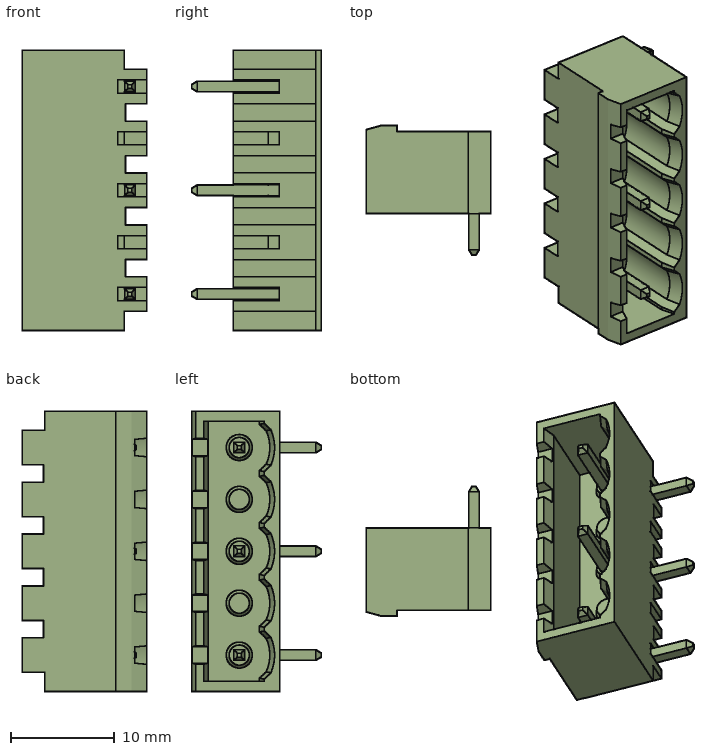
import cadquery as cq

TINY = 0.14

pole_count = 5
pitch = 5.0
row_length = 27.0
pole_z = [row_length / 2 + (i - (pole_count - 1) / 2) * pitch for i in range(pole_count)]
pin_z = pole_z[::2]

body_length = 9.83
body_depth = 7.95
overall_length = 12.0

lip_top = 8.5
lip_length = 2.97
lip_ramp_length = 1.45
lip_ramp_drop = 0.4

tooth_width = 3.35
tooth_root = 9.95

slot_width = 1.27
slot_start = 9.18

cavity_depth = 8.0
end_wall = 0.97
mouth_back = 7.35
mouth_cusp = 1.5
scallop_depth = 1.0
scallop_width = pitch - 0.35
scallop_arc_width = 3.4
scallop_arc_depth = 0.35
lead_in_length = 1.38
lead_in_step = 0.45
lead_in_narrowing = 0.2

notch_depth = 1.15
notch_mouth_width = 1.78
notch_floor_width = 1.57

boss_height = 0.55
boss_base_diameter = 2.5
boss_top_diameter = 1.95

pin_size = 1.03
pin_y = 3.92
pin_front = 1.0
tail_x = 10.37
tail_reach = 4.0
tip_length = 0.55
tip_size = 0.38


def block(x_range, y_range, z_range):
    """Box spanning the given (start, end) pairs."""
    ranges = (x_range, y_range, z_range)
    sizes = [end - start for start, end in ranges]
    corner = tuple(start for start, _ in ranges)
    return cq.Workplane("XY").box(*sizes, centered=False).translate(corner)


def around(center, width):
    """(start, end) pair of a width centred on a position."""
    return (center - width / 2, center + width / 2)


def make_housing():
    """Block with the ramped latch lip, plus the full-depth teeth."""
    housing = (
        cq.Workplane("XY")
        .polyline([
            (0, 0),
            (body_length, 0),
            (body_length, body_depth),
            (lip_length, body_depth),
            (lip_length, lip_top),
            (lip_ramp_length, lip_top),
            (0, lip_top - lip_ramp_drop),
        ])
        .close()
        .extrude(row_length)
    )
    first_tooth = pole_z[0] - tooth_width / 2
    last_tooth = pole_z[-1] + tooth_width / 2
    housing = housing.union(
        block((body_length - TINY, overall_length), (0, body_depth), (first_tooth, last_tooth))
    )
    for z in pole_z[:-1]:
        gap = around(z + pitch / 2, pitch - tooth_width)
        housing = housing.cut(
            block((tooth_root, overall_length + TINY), (-TINY, body_depth + TINY), gap)
        )
    return housing


def cavity_outline(workplane, step, narrowing):
    """Cavity outline on a YZ plane; each scallop is an arc between two sloping flanks.

    The front and back edges are drawn in by step and each scallop loses narrowing in width.
    """
    cusp = mouth_cusp + step
    bottom = cusp - scallop_depth
    arc_edge = bottom + scallop_arc_depth
    outline = workplane.moveTo(mouth_back - step, end_wall).lineTo(cusp, end_wall)
    for z in pole_z:
        start, end = around(z, scallop_width - narrowing)
        arc_start, arc_end = around(z, scallop_arc_width - narrowing)
        outline = (
            outline.lineTo(cusp, start)
            .lineTo(arc_edge, arc_start)
            .threePointArc((bottom, z), (arc_edge, arc_end))
            .lineTo(cusp, end)
        )
    top = row_length - end_wall
    return outline.lineTo(cusp, top).lineTo(mouth_back - step, top).close()


def make_cavity():
    """Straight cavity with a tapered lead-in at the mouth."""
    inner_steps = (lead_in_step, lead_in_narrowing)
    straight = cavity_outline(cq.Workplane("YZ"), *inner_steps).extrude(cavity_depth)
    mouth = cavity_outline(cq.Workplane("YZ"), 0, 0).workplane(offset=lead_in_length)
    lead_in = cavity_outline(mouth, *inner_steps).loft(ruled=True)
    return straight.union(lead_in)


def make_notch(z):
    """Coding notch through the lip, narrowing toward its floor."""
    return (
        cq.Workplane("XZ", origin=(0, lip_top + TINY, 0))
        .polyline([
            (0, z - notch_mouth_width / 2),
            (notch_depth, z - notch_floor_width / 2),
            (notch_depth, z + notch_floor_width / 2),
            (0, z + notch_mouth_width / 2),
        ])
        .close()
        .extrude(lip_top + TINY - (mouth_back - lead_in_step))
    )


def make_slot(z):
    """Tail slot: shallow inside the block and deeper between the tooth halves."""
    z_range = around(z, slot_width)
    pin_bottom, pin_top = around(pin_y, pin_size)
    inner = block((slot_start, body_length), (-TINY, pin_bottom), z_range)
    outer = block((body_length, overall_length + TINY), (-TINY, pin_top), z_range)
    return inner.union(outer)


def make_boss(z):
    """Tapered boss standing on the cavity floor."""
    return (
        cq.Workplane("YZ", origin=(cavity_depth, pin_y, z))
        .circle(boss_base_diameter / 2)
        .workplane(offset=-boss_height)
        .circle(boss_top_diameter / 2)
        .loft()
    )


def make_leg(plane, length):
    """Square bar along the plane normal, ending in a blunt pyramid point."""
    shank = length - tip_length
    bar = cq.Workplane(plane).rect(pin_size, pin_size).extrude(shank)
    tip = (
        cq.Workplane(plane)
        .workplane(offset=shank)
        .rect(pin_size, pin_size)
        .workplane(offset=tip_length)
        .rect(tip_size, tip_size)
        .loft()
    )
    return bar.union(tip)


def make_pin(z):
    """Right-angle pin: contact leg along -X and solder tail along -Y."""
    half = pin_size / 2
    outer_corner = tail_x + half
    contact_plane = cq.Plane(origin=(outer_corner, pin_y, z), xDir=(0, 1, 0), normal=(-1, 0, 0))
    tail_plane = cq.Plane(origin=(tail_x, pin_y + half, z), xDir=(1, 0, 0), normal=(0, -1, 0))
    contact = make_leg(contact_plane, outer_corner - pin_front)
    tail = make_leg(tail_plane, pin_y + half + tail_reach)
    return contact.union(tail)


result = make_housing().cut(make_cavity())
for z in pole_z:
    result = result.cut(make_notch(z)).cut(make_slot(z)).union(make_boss(z))
for z in pin_z:
    result = result.union(make_pin(z))